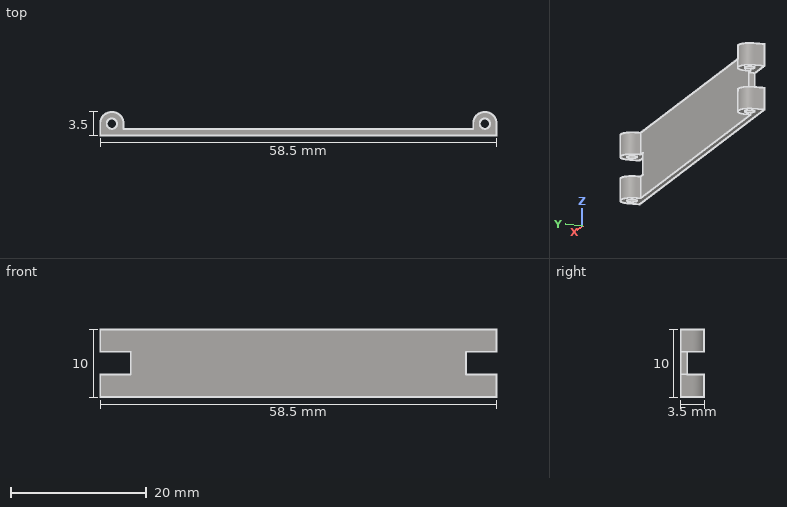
import cadquery as cq

length = 58.5
height = 10.0
plate_thickness = 1.0
knuckle_diameter = 3.5
pin_diameter = 1.5
notch_depth = 4.5
notch_height = height / 3

knuckle_radius = knuckle_diameter / 2
pin_offset = length / 2 - knuckle_radius


def make_plate():
    """Flat plate joining the two hinge ends."""
    return cq.Workplane("XY").box(length, plate_thickness, height, centered=(True, False, True))


def make_knuckle(x):
    """Full-height hinge knuckle: a round barrel squared off down to the flat face."""
    barrel = (
        cq.Workplane("XY")
        .center(x, knuckle_radius)
        .circle(knuckle_radius)
        .extrude(height / 2, both=True)
    )
    base = (
        cq.Workplane("XY")
        .box(knuckle_diameter, knuckle_radius, height, centered=(True, False, True))
        .translate((x, 0, 0))
    )
    return barrel.union(base)


def make_pin_hole(x):
    """Hinge pin hole running the full height of a knuckle."""
    return (
        cq.Workplane("XY")
        .center(x, knuckle_radius)
        .circle(pin_diameter / 2)
        .extrude(height / 2, both=True)
    )


def make_notch(side):
    """Gap at mid-height of one end that receives the mating knuckle."""
    return (
        cq.Workplane("XY")
        .box(notch_depth, knuckle_diameter, notch_height, centered=(True, False, True))
        .translate((side * (length - notch_depth) / 2, 0, 0))
    )


result = make_plate()
for side in (-1, 1):
    pin_x = side * pin_offset
    result = result.union(make_knuckle(pin_x))
    result = result.cut(make_pin_hole(pin_x))
    result = result.cut(make_notch(side))